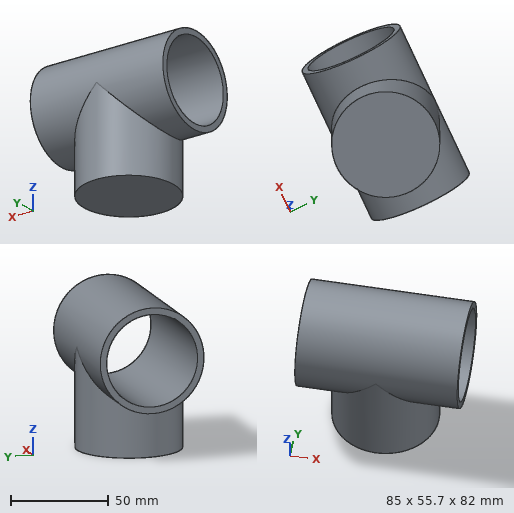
import cadquery as cq

OUTER_DIAMETER = 55.7
BORE_DIAMETER = 48.7
RUN_LENGTH = 85.0
OVERALL_HEIGHT = 82.0

BRANCH_LENGTH = OVERALL_HEIGHT - OUTER_DIAMETER / 2


def run_cylinder(diameter):
    """Cylinder along X over the full pipe length, centred on the origin."""
    return cq.Workplane("YZ").circle(diameter / 2).extrude(RUN_LENGTH / 2, both=True)


def branch_cylinder():
    """Cylinder along Z, from the pipe axis down to the branch end."""
    return cq.Workplane("XY").circle(OUTER_DIAMETER / 2).extrude(-BRANCH_LENGTH)


body = run_cylinder(OUTER_DIAMETER).union(branch_cylinder())
result = body.cut(run_cylinder(BORE_DIAMETER))